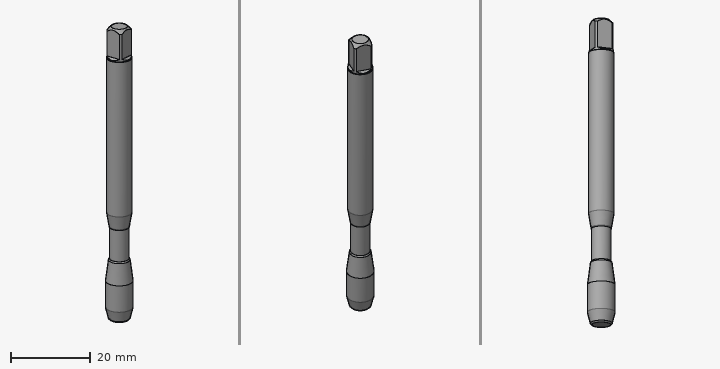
import cadquery as cq

total_length = 80.2
thread_radius = 7.05 / 2
shank_radius = 6.5 / 2
neck_radius = 5.05 / 2

head_length = 10.5
lead_length = 3.3
lead_tip_radius = 2.8
tip_chamfer = 0.4

head_taper_top = 16.3
neck_step = 0.25
neck_bottom = head_taper_top + 0.4
neck_top = 25.3
shank_taper_bottom = neck_top + 0.25
shank_step = 0.1
shank_bottom = 29.3

square_width = 4.9
square_corner_radius = 6.25 / 2
run_out_drop = 0.6
square_length = 7.85
shoulder_top = 71.7
shoulder_chamfer = shank_radius - square_corner_radius
top_chamfer = 1.05


def make_head():
    """Threaded head: short tip chamfer, tapered lead and full-diameter cylinder."""
    outline = [
        (0, 0),
        (lead_tip_radius - tip_chamfer, 0),
        (lead_tip_radius, tip_chamfer),
        (thread_radius, lead_length),
        (thread_radius, head_length),
        (0, head_length),
    ]
    return cq.Workplane("XZ").polyline(outline).close().revolve(360, (0, 0), (0, 1))


def make_turned_shank():
    """Round stock from the head's end face to the chamfered upper end."""
    outline = [
        (0, head_length),
        (thread_radius, head_length),
        (neck_radius + neck_step, head_taper_top),
        (neck_radius, neck_bottom),
        (neck_radius, neck_top),
        (neck_radius + shank_step, shank_taper_bottom),
        (shank_radius, shank_bottom),
        (shank_radius, shoulder_top - shoulder_chamfer),
        (square_corner_radius, shoulder_top),
        (square_corner_radius, total_length - top_chamfer),
        (square_corner_radius - top_chamfer, total_length),
        (0, total_length),
    ]
    return cq.Workplane("XZ").polyline(outline).close().revolve(360, (0, 0), (0, 1))


def make_flat_cutter():
    """Material beyond one flat, with a sloping run-out at the flat's lower end."""
    flat_distance = square_width / 2
    flat_bottom = total_length - square_length
    run_out_bottom = flat_bottom - run_out_drop
    outline = [
        (flat_distance, total_length),
        (flat_distance, flat_bottom),
        (shank_radius, run_out_bottom),
        (shank_radius, total_length),
    ]
    return cq.Workplane("XZ").polyline(outline).close().extrude(shank_radius, both=True)


def make_shank():
    """Neck and shank with four flats forming the driving square."""
    shank = make_turned_shank()
    flat_cutter = make_flat_cutter()
    for angle in (0, 90, 180, 270):
        shank = shank.cut(flat_cutter.rotate((0, 0, 0), (0, 0, 1), angle))
    return shank


head = make_head()
shank = make_shank()
result = cq.Compound.makeCompound([head.val(), shank.val()])